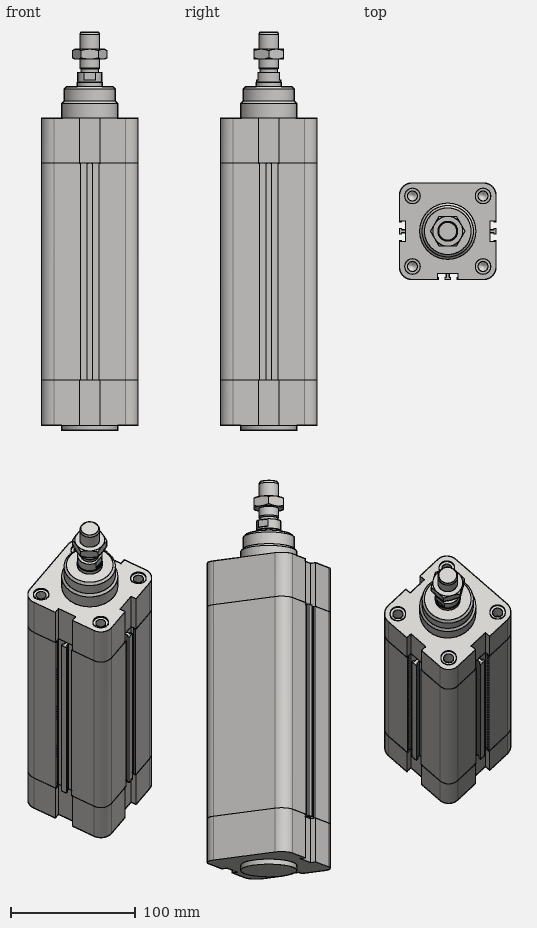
import cadquery as cq
import math


total_height = 319.0
rear_pilot_height = 4.0
cover_height = 36.0
body_top = 250.0
rear_cover_top = rear_pilot_height + cover_height
front_cover_bottom = body_top - cover_height
tube_length = front_cover_bottom - rear_cover_top

body_width = 77.5
corner_radius = 10.2
half_width = body_width / 2

slot_width = 16.3
slot_depth = 4.8
slot_mouth_width = 14.7
slot_lip = 2.0
rib_head_width = 4.8
rib_stem_width = 2.5
slot_side_angles = (-90, 0, 90)

hole_spacing = 56.5
counterbore_diameter = 12.5
counterbore_depth = 1.3
mounting_hole_diameter = 8.0
mounting_hole_depth = 16.0
drill_point_angle = 118.0

pilot_diameter = 45.0
gland_diameter = 41.0
pilot_cone_bottom = 262.0
pilot_cone_height = (pilot_diameter - gland_diameter) / 2
gland_top = 275.3
gland_chamfer = 2.0

rod_diameter = 20.0
collar_diameter = 19.5
collar_bottom = 278.5
collar_step_height = 0.5
collar_top = 286.8
flat_spacing = 17.2
flat_bottom = 280.7
neck_diameter = 14.5
thread_diameter = 16.0
thread_bottom = 289.3
thread_chamfer_height = 1.0
rod_tip_chamfer_height = 2.0

nut_across_flats = 24.0
nut_height = 8.0
nut_bottom = 297.3
nut_chamfer_angle = 30.0


def square_block(bottom, height):
    block = cq.Workplane("XY").workplane(offset=bottom).rect(body_width, body_width).extrude(height)
    return block.edges("|Z").fillet(corner_radius)


def side_bar(width, inner, outer, bottom, height):
    """Upright bar against the -Y side, between two depths measured inward from that side."""
    bar = cq.Workplane("XY").box(width, inner - outer, height, centered=(True, False, False))
    return bar.translate((0, outer - half_width, bottom))


def cut_on_slot_sides(block, cutter):
    for angle in slot_side_angles:
        block = block.cut(cutter.rotate((0, 0, 0), (0, 0, 1), angle))
    return block


def slotted_cover(bottom):
    slot = side_bar(slot_width, slot_depth, 0, bottom, cover_height)
    return cut_on_slot_sides(square_block(bottom, cover_height), slot)


def mounting_hole():
    """Counterbored blind hole with a drill point, hanging down from Z = 0."""
    hole_radius = mounting_hole_diameter / 2
    point_height = hole_radius / math.tan(math.radians(drill_point_angle / 2))
    return (
        cq.Workplane("XZ")
        .lineTo(counterbore_diameter / 2, 0)
        .lineTo(counterbore_diameter / 2, -counterbore_depth)
        .lineTo(hole_radius, -counterbore_depth)
        .lineTo(hole_radius, -mounting_hole_depth)
        .lineTo(0, -mounting_hole_depth - point_height)
        .close()
        .revolve()
    )


def make_rear_cover():
    pilot = cq.Workplane("XY").circle(pilot_diameter / 2).extrude(rear_pilot_height)
    return slotted_cover(rear_pilot_height).union(pilot)


def make_tube():
    mouth = side_bar(slot_mouth_width, slot_lip, 0, rear_cover_top, tube_length)
    cavity = side_bar(slot_width, slot_depth, slot_lip, rear_cover_top, tube_length)
    rib_head = side_bar(rib_head_width, slot_lip, 0, rear_cover_top, tube_length)
    rib_stem = side_bar(rib_stem_width, slot_depth, slot_lip, rear_cover_top, tube_length)
    slot = mouth.union(cavity).cut(rib_head).cut(rib_stem)
    return cut_on_slot_sides(square_block(rear_cover_top, tube_length), slot)


def make_front_cover():
    gland = (
        cq.Workplane("XZ")
        .moveTo(0, body_top)
        .lineTo(pilot_diameter / 2, body_top)
        .lineTo(pilot_diameter / 2, pilot_cone_bottom)
        .lineTo(gland_diameter / 2, pilot_cone_bottom + pilot_cone_height)
        .lineTo(gland_diameter / 2, gland_top)
        .lineTo(0, gland_top)
        .close()
        .revolve()
        .faces(">Z")
        .chamfer(gland_chamfer)
    )
    cover = slotted_cover(front_cover_bottom).union(gland)
    hole = mounting_hole()
    for x in (-hole_spacing / 2, hole_spacing / 2):
        for y in (-hole_spacing / 2, hole_spacing / 2):
            cover = cover.cut(hole.translate((x, y, body_top)))
    bore_length = gland_top - front_cover_bottom
    rod_bore = cq.Workplane("XY").workplane(offset=front_cover_bottom).circle(rod_diameter / 2)
    return cover.cut(rod_bore.extrude(bore_length))


def make_rod():
    """Rod from the end of the tube to the thread tip, with two wrench flats on its collar."""
    rod = (
        cq.Workplane("XZ")
        .moveTo(0, front_cover_bottom)
        .lineTo(rod_diameter / 2, front_cover_bottom)
        .lineTo(rod_diameter / 2, collar_bottom)
        .lineTo(collar_diameter / 2, collar_bottom + collar_step_height)
        .lineTo(collar_diameter / 2, collar_top)
        .lineTo(neck_diameter / 2, collar_top)
        .lineTo(neck_diameter / 2, thread_bottom)
        .lineTo(thread_diameter / 2, thread_bottom + thread_chamfer_height)
        .lineTo(thread_diameter / 2, total_height - rod_tip_chamfer_height)
        .lineTo(neck_diameter / 2, total_height)
        .lineTo(0, total_height)
        .close()
        .revolve()
    )
    flat_length = collar_top - flat_bottom
    collar_slice = cq.Workplane("XY").workplane(offset=flat_bottom)
    outside = collar_slice.rect(rod_diameter, rod_diameter).extrude(flat_length)
    between_flats = collar_slice.rect(rod_diameter, flat_spacing).extrude(flat_length)
    return rod.cut(outside.cut(between_flats))


def make_nut():
    """Hexagon nut with corners along X, chamfered on both faces."""
    across_corners = nut_across_flats / math.cos(math.pi / 6)
    flat_radius = nut_across_flats / 2
    hex_radius = across_corners / 2
    chamfer_height = (hex_radius - flat_radius) * math.tan(math.radians(nut_chamfer_angle))
    nut_top = nut_bottom + nut_height
    hexagon = (
        cq.Workplane("XY")
        .workplane(offset=nut_bottom)
        .polygon(6, across_corners)
        .circle(thread_diameter / 2)
        .extrude(nut_height)
    )
    envelope = (
        cq.Workplane("XZ")
        .moveTo(0, nut_bottom)
        .lineTo(flat_radius, nut_bottom)
        .lineTo(hex_radius, nut_bottom + chamfer_height)
        .lineTo(hex_radius, nut_top - chamfer_height)
        .lineTo(flat_radius, nut_top)
        .lineTo(0, nut_top)
        .close()
        .revolve()
    )
    return hexagon.intersect(envelope)


rear_cover = make_rear_cover()
tube = make_tube()
front_cover = make_front_cover()
rod = make_rod()
nut = make_nut()

result = cq.Compound.makeCompound(
    [rear_cover.val(), tube.val(), front_cover.val(), rod.val(), nut.val()]
)